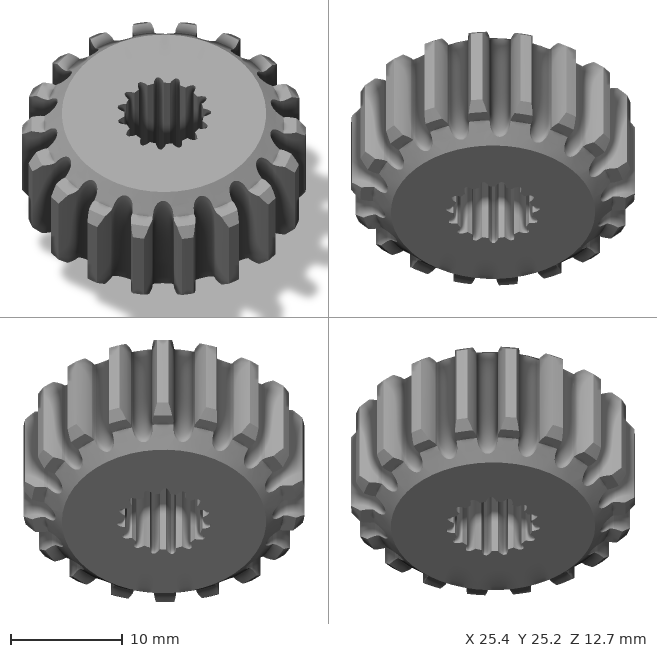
import cadquery as cq
import math

tip_diameter = 25.4
total_height = 12.7

tooth_count = 18
tooth_face_setback = 1.6
tip_chamfer = 0.81
tip_half_angle = 2.3

hub_face_radius = 9.15

root_radius = 9.7
floor_end_distance = 10.36
floor_end_half_width = 0.86
flank_foot_distance = 10.7
flank_foot_half_width = 0.95
flank_root_distance = 11.05
flank_root_half_width = 0.97
flank_mid_distance = 11.75
flank_mid_half_width = 1.22

spline_count = 15
bore_radius = 3.55
notch_depth = 0.64
notch_mouth_half_width = 0.45
notch_mid_half_width = 0.35
notch_tip_half_width = 0.13

cut_margin = 0.25

tip_radius = tip_diameter / 2
tooth_pitch = 360 / tooth_count
spline_pitch = 360 / spline_count


def make_blank():
    """Turned profile: hub faces, cones, tooth end faces and chamfered rim."""
    half_height = total_height / 2
    half_face_width = half_height - tooth_face_setback
    upper_half = [
        (hub_face_radius, half_height),
        (hub_face_radius + tooth_face_setback, half_face_width),
        (tip_radius - tip_chamfer, half_face_width),
        (tip_radius, half_face_width - tip_chamfer),
    ]
    lower_half = [(r, -z) for r, z in reversed(upper_half)]
    profile = [(0, half_height)] + upper_half + lower_half + [(0, -half_height)]
    return cq.Workplane("XZ").polyline(profile).close().revolve(360, (0, 0), (0, 1))


def make_gap_cutter():
    """Gap between two teeth, opening toward +X."""
    gap_tip_angle = math.radians(tooth_pitch / 2 - tip_half_angle)
    tip_x = tip_radius * math.cos(gap_tip_angle)
    tip_y = tip_radius * math.sin(gap_tip_angle)
    outer_x = tip_radius + cut_margin
    return (
        cq.Workplane("XY")
        .workplane(offset=-total_height / 2 - cut_margin)
        .moveTo(floor_end_distance, -floor_end_half_width)
        .threePointArc((root_radius, 0), (floor_end_distance, floor_end_half_width))
        .lineTo(flank_foot_distance, flank_foot_half_width)
        .lineTo(flank_root_distance, flank_root_half_width)
        .threePointArc((flank_mid_distance, flank_mid_half_width), (tip_x, tip_y))
        .lineTo(outer_x, tip_y)
        .lineTo(outer_x, -tip_y)
        .lineTo(tip_x, -tip_y)
        .threePointArc(
            (flank_mid_distance, -flank_mid_half_width), (flank_root_distance, -flank_root_half_width)
        )
        .lineTo(flank_foot_distance, -flank_foot_half_width)
        .close()
        .extrude(total_height + 2 * cut_margin)
    )


def make_notch_cutter():
    """One spline notch on +Y, with bowed flanks and a flat end."""
    mouth_y = math.sqrt(bore_radius**2 - notch_mouth_half_width**2)
    tip_y = bore_radius + notch_depth
    mid_y = (mouth_y + tip_y) / 2
    return (
        cq.Workplane("XY")
        .workplane(offset=-total_height / 2 - cut_margin)
        .moveTo(0, 0)
        .lineTo(notch_mouth_half_width, mouth_y)
        .threePointArc((notch_mid_half_width, mid_y), (notch_tip_half_width, tip_y))
        .lineTo(-notch_tip_half_width, tip_y)
        .threePointArc((-notch_mid_half_width, mid_y), (-notch_mouth_half_width, mouth_y))
        .close()
        .extrude(total_height + 2 * cut_margin)
    )


result = make_blank()

gap_cutter = make_gap_cutter()
for i in range(tooth_count):
    gap_angle = (i + 0.5) * tooth_pitch
    result = result.cut(gap_cutter.rotate((0, 0, 0), (0, 0, 1), gap_angle))

bore_cutter = cq.Workplane("XY").circle(bore_radius).extrude(total_height, both=True)
result = result.cut(bore_cutter)
notch_cutter = make_notch_cutter()
for i in range(spline_count):
    result = result.cut(notch_cutter.rotate((0, 0, 0), (0, 0, 1), i * spline_pitch))